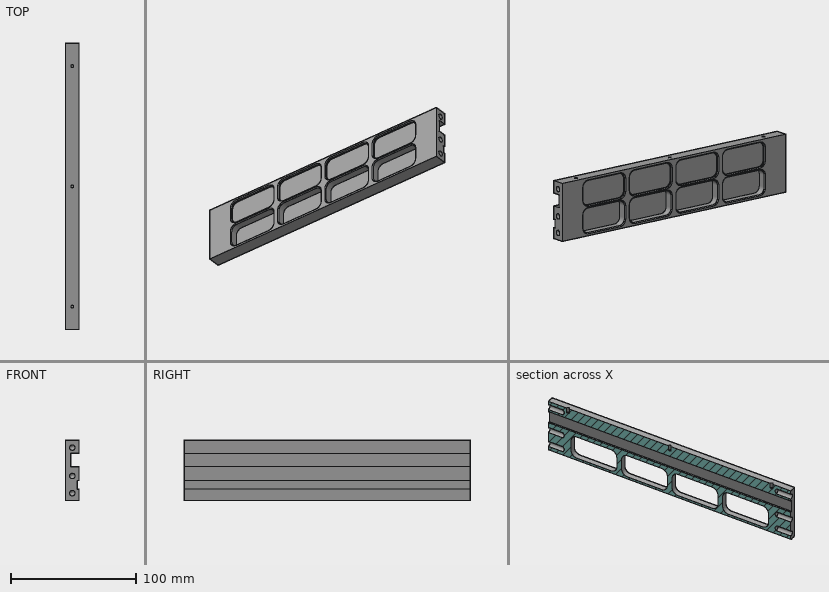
import cadquery as cq
import math

thickness = 11.0
length = 229.0
height = 48.3

deep_groove_bottom = 27.3
deep_groove_width = 10.5
deep_groove_depth = 6.6
shallow_groove_bottom = 9.2
shallow_groove_width = 6.9
shallow_groove_depth = 1.4

end_hole_diameter = 4.4
end_hole_depth = 13.7
end_hole_margin = 6.0
middle_end_hole_z = 19.7
end_hole_heights = (end_hole_margin, middle_end_hole_z, height - end_hole_margin)
drill_point_angle = 118.0

top_hole_diameter = 2.27
top_hole_depth = 4.5
top_hole_spacing = 96.2

pocket_columns = 4
pocket_length = 44.2
pocket_height = 22.0
pocket_corner_radius = 6.0
pocket_end_margin = 20.8
column_pitch = (length - 2 * pocket_end_margin - pocket_length) / (pocket_columns - 1)
row_pitch = 23.0
lower_row_z = (height - row_pitch) / 2
upper_row_z = (height + row_pitch) / 2
lower_pocket_depth = 6.9
upper_pocket_depth = 2.0
rim_chamfer = 0.8
rim_chamfer_angle = 45.0


def make_bar():
    """Plain rectangular bar."""
    return cq.Workplane("XY").box(thickness, length, height, centered=(False, True, False))


def make_groove(bottom, width, depth):
    """Full-length groove cutter, open on the +X face."""
    cutter = cq.Workplane("XY").box(depth, length, width, centered=(False, True, False))
    return cutter.translate((thickness - depth, 0, bottom))


def make_end_hole(z, side):
    """Drilled hole cutter with a conical tip; side is -1 for the -Y end, 1 for the +Y end."""
    radius = end_hole_diameter / 2
    tip_length = radius / math.tan(math.radians(drill_point_angle / 2))
    half_profile = (
        cq.Workplane("XY")
        .polyline([(0, 0), (radius, 0), (radius, end_hole_depth), (0, end_hole_depth + tip_length)])
        .close()
    )
    hole = half_profile.revolve(360, (0, 0), (0, 1))
    if side > 0:
        hole = hole.mirror("XZ")
    return hole.translate((thickness / 2, side * length / 2, z))


def make_top_hole(y):
    """Blind vertical hole cutter, entering from the top face."""
    hole = cq.Workplane("XY").circle(top_hole_diameter / 2).extrude(-top_hole_depth)
    return hole.translate((thickness / 2, y, height))


def pocket_outline(y, z, inset):
    """Rounded pocket outline in the X = 0 plane, shrunk by inset on every side."""
    sketch = (
        cq.Sketch()
        .rect(pocket_length - 2 * inset, pocket_height - 2 * inset)
        .vertices()
        .fillet(pocket_corner_radius - inset)
    )
    return cq.Workplane("YZ").center(y, z).placeSketch(sketch)


def make_pocket(y, z, depth):
    """Pocket cutter for the -X face: a chamfered mouth leading into a straight-walled recess."""
    mouth = pocket_outline(y, z, 0).extrude(rim_chamfer, taper=rim_chamfer_angle)
    recess = pocket_outline(y, z, rim_chamfer).extrude(depth)
    return mouth.union(recess)


bar = make_bar()
bar = bar.cut(make_groove(deep_groove_bottom, deep_groove_width, deep_groove_depth))
bar = bar.cut(make_groove(shallow_groove_bottom, shallow_groove_width, shallow_groove_depth))

for end_side in (-1, 1):
    for hole_z in end_hole_heights:
        bar = bar.cut(make_end_hole(hole_z, end_side))

for hole_y in (-top_hole_spacing, 0, top_hole_spacing):
    bar = bar.cut(make_top_hole(hole_y))

for row_z, pocket_depth in ((lower_row_z, lower_pocket_depth), (upper_row_z, upper_pocket_depth)):
    for column in range(pocket_columns):
        column_y = (column - (pocket_columns - 1) / 2) * column_pitch
        bar = bar.cut(make_pocket(column_y, row_z, pocket_depth))

result = bar